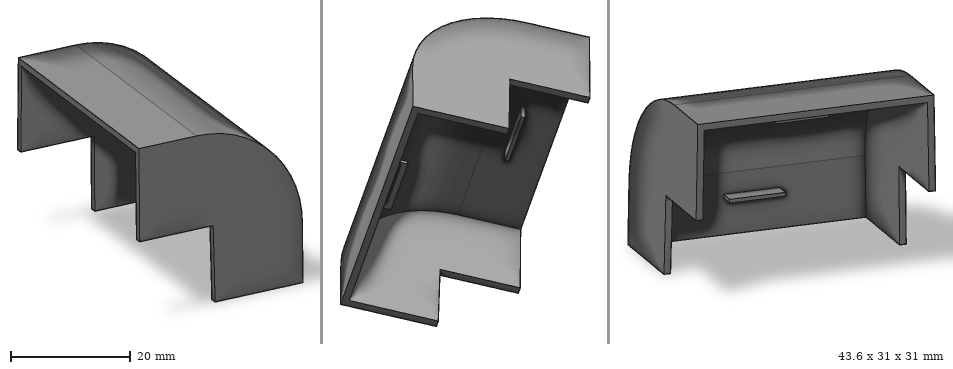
import cadquery as cq
import math

base_width = 43.6
leg_length = 31.0
leg_depth = 17.0
bend_radius = 20.0
draft_angle = 1.0

inner_base_width = 41.2
wall = (base_width - inner_base_width) / 2

upper_catch_width = 9.67
lower_catch_width = 10.05
catch_height = 2.8
catch_thickness = 0.65
catch_setback = 6.55
catch_root = wall / 2

draft = math.tan(math.radians(draft_angle))
back = leg_length / 2
front = -back
bottom = -leg_length / 2
top = bottom + leg_length
upper_leg_bottom = top - leg_depth
lower_leg_front = back - leg_depth
lower_leg_draft = (upper_leg_bottom - bottom) * draft
top_width = base_width - 2 * leg_length * draft


def bend_profile(offset):
    """Side outline of the full bend, moved inward from the back and top by offset."""
    radius = bend_radius - offset
    back_face = back - offset
    top_face = top - offset
    center_y = back - bend_radius
    center_z = top - bend_radius
    arc_middle = (center_y + radius * math.sqrt(0.5), center_z + radius * math.sqrt(0.5))
    return (
        cq.Workplane("YZ", origin=(-base_width / 2, 0, 0))
        .moveTo(front, bottom)
        .lineTo(back_face, bottom)
        .lineTo(back_face, center_z)
        .threePointArc(arc_middle, (center_y, top_face))
        .lineTo(front, top_face)
        .close()
        .extrude(base_width)
    )


def drafted_block(inset):
    """Full-length block with sides that lean inward toward the top, each moved in by inset."""
    half_base = base_width / 2 - inset
    half_top = top_width / 2 - inset
    return (
        cq.Workplane("XZ", origin=(0, back, 0))
        .polyline([(-half_base, bottom), (half_base, bottom), (half_top, top), (-half_top, top)])
        .close()
        .extrude(leg_length)
    )


def inner_corner():
    """Space between the two legs; the lower leg narrows slightly toward its end."""
    return (
        cq.Workplane("YZ", origin=(-base_width / 2, 0, 0))
        .polyline([
            (front, bottom),
            (lower_leg_front + lower_leg_draft, bottom),
            (lower_leg_front, upper_leg_bottom),
            (front, upper_leg_bottom),
        ])
        .close()
        .extrude(base_width)
    )


def upper_catch():
    """Plate hanging from the top wall, set back from the open end of the upper leg."""
    return cq.Workplane("XY").box(
        upper_catch_width, catch_thickness, catch_height + catch_root, centered=(True, False, False)
    ).translate((0, front + catch_setback, top - wall - catch_height))


def lower_catch():
    """Plate standing on the back wall, set back from the open end of the lower leg."""
    return cq.Workplane("XY").box(
        lower_catch_width, catch_height + catch_root, catch_thickness, centered=(True, False, False)
    ).translate((0, back - wall - catch_height, bottom + catch_setback))


outer = bend_profile(0).intersect(drafted_block(0))
cavity = bend_profile(wall).intersect(drafted_block(wall))
cover = outer.cut(cavity).cut(inner_corner())
result = cover.union(upper_catch()).union(lower_catch())